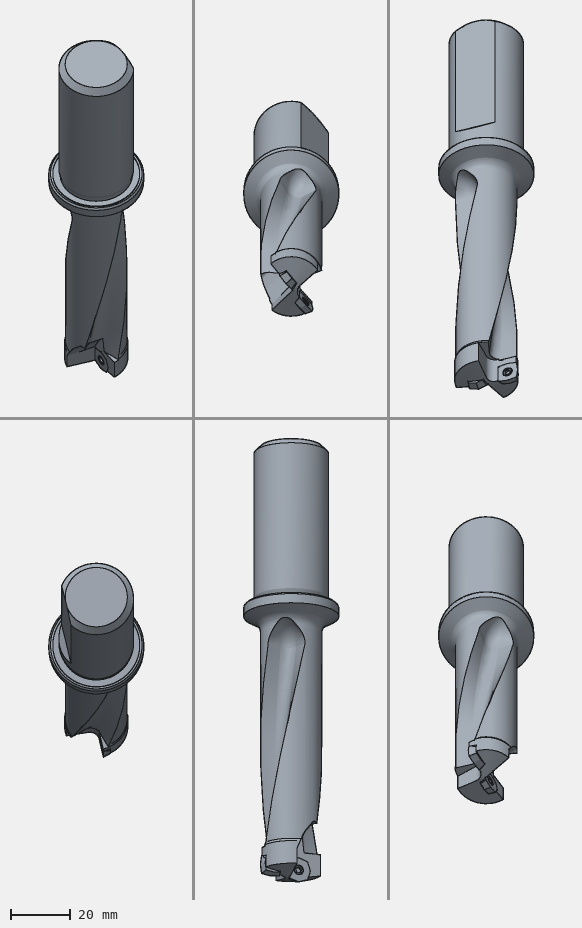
import cadquery as cq
import math


total_length = 151.9
shank_radius = 25.0 / 2
shank_chamfer = 2.1
flat_offset = 10.3
flat_bottom_z = 103.6
relief_radius = 24.3 / 2
relief_top_z = 98.7
relief_taper = 1.2

flange_radius = 31.9 / 2
flange_top_z = 96.5
flange_chamfer = 0.6
flange_recess_radius = 14.6
flange_recess_depth = 0.3
flange_rim_bottom_z = 92.7
cone_end_radius = 11.8
cone_end_z = 90.4
neck_end_z = 87.0

body_radius = 10.3
head_radius = 10.6
head_top_z = 11.0
head_step = 0.9
head_rim_z = 3.0
tip_z = 0.9

flute_count = 2
flute_web = 1.8
flute_root_radius = 3.8
flute_start_z = 10.5
flute_end_z = 80.5
flute_start_angle = 152
flute_lead = 1.205
runout_axis_radius = 12.2

center_wall_x = -0.8
center_wall_top_z = 8.0
center_blend_points = [(0.5, 11.0), (2.5, 14.6), (4.9, 17.6)]
center_wall_taper = 8
outer_wall_x = -1.2
outer_root_radius = 3
pocket_seat_x = 6
pocket_reach = 12.2
pocket_bottom_z = -1.5

insert_thickness = 2.6
insert_relief = 15
insert_corner = 3.2
insert_seat_side = 3.3
center_bow = 4.3
outer_bow = 3.6
insert_bore = 2.6
counterbore = 3.3
counterbore_depth = 1.4
screw_head = 3.0
screw_head_gap = 0.2
screw_shank = 2.1
screw_length = 4.9
socket = 2.0
socket_depth = 0.8
center_insert_at = (2.7, center_bow)
outer_insert_at = (-7.6, 4.5)


def make_blank():
    """Turned blank: shank, relief, flange, neck, body and conical tip."""
    profile = (
        cq.Workplane("XZ")
        .moveTo(0, tip_z)
        .lineTo(head_radius, head_rim_z)
        .lineTo(head_radius, head_top_z)
        .lineTo(body_radius, head_top_z + head_step)
        .lineTo(body_radius, neck_end_z)
        .tangentArcPoint((cone_end_radius, cone_end_z), relative=False)
        .lineTo(flange_radius, flange_rim_bottom_z)
        .lineTo(flange_radius, flange_top_z - flange_chamfer)
        .lineTo(flange_radius - flange_chamfer, flange_top_z)
        .lineTo(flange_recess_radius, flange_top_z)
        .lineTo(flange_recess_radius, flange_top_z - flange_recess_depth)
        .lineTo(relief_radius, flange_top_z - flange_recess_depth)
        .lineTo(relief_radius, relief_top_z - relief_taper)
        .lineTo(shank_radius, relief_top_z)
        .lineTo(shank_radius, total_length - shank_chamfer)
        .lineTo(shank_radius - shank_chamfer, total_length)
        .lineTo(0, total_length)
        .close()
    )
    return profile.revolve(360, (0, 0), (0, 1))


def make_flat_cutter():
    """Clamping flat on the +Y side of the shank, ending in a 45 degree ramp."""
    ramp_y = flange_radius
    return (
        cq.Workplane("YZ")
        .moveTo(flat_offset, total_length)
        .lineTo(flat_offset, flat_bottom_z + shank_radius - flat_offset)
        .lineTo(ramp_y, flat_bottom_z + shank_radius - ramp_y)
        .lineTo(ramp_y, total_length)
        .close()
        .extrude(shank_radius, both=True)
    )


def flute_profile():
    """Rounded V opening along +X, drawn on the XY plane."""
    tangent = flute_root_radius / math.sqrt(2)
    root_x = flute_web + flute_root_radius * (math.sqrt(2) - 1)
    half_width = runout_axis_radius - flute_web
    return (
        cq.Workplane("XY")
        .moveTo(runout_axis_radius, -half_width)
        .lineTo(flute_web + tangent, -tangent)
        .threePointArc((root_x, 0), (flute_web + tangent, tangent))
        .lineTo(runout_axis_radius, half_width)
        .close()
    )


def make_flute_cutter():
    """Twisted flute with a curved run-out at its upper end."""
    length = flute_end_z - flute_start_z
    twist = flute_lead * length
    helix = flute_profile().twistExtrude(length, twist)
    runout = (
        flute_profile()
        .revolve(90, (runout_axis_radius, -1.5), (runout_axis_radius, 1.5))
        .rotate((0, 0, 0), (0, 0, 1), twist)
        .translate((0, 0, length))
    )
    return [
        part.rotate((0, 0, 0), (0, 0, 1), flute_start_angle).translate((0, 0, flute_start_z))
        for part in (helix, runout)
    ]


def pocket_outline(wall_points):
    """Pocket outline on the XZ plane, from its inner wall outward along +X."""
    return (
        cq.Workplane("XZ")
        .polyline([
            *wall_points,
            (pocket_seat_x, flute_start_z),
            (pocket_reach, flute_start_z),
            (pocket_reach, pocket_bottom_z),
        ])
        .close()
    )


def make_center_pocket():
    """Pocket open toward +X and -Y, blending upward into the flute."""
    wall = [
        (center_wall_x, pocket_bottom_z),
        (center_wall_x, center_wall_top_z),
        *center_blend_points,
    ]
    return pocket_outline(wall).extrude(pocket_reach, taper=-center_wall_taper)


def make_outer_pocket():
    """Pocket open toward -X and +Y, with a rounded root."""
    wall_x = -outer_wall_x
    wall = [
        (wall_x, pocket_bottom_z),
        (wall_x, head_top_z),
        (pocket_seat_x, head_top_z),
    ]
    pocket = pocket_outline(wall).extrude(pocket_reach)
    root_edge = pocket.edges(cq.NearestToPointSelector((wall_x, 0, head_top_z / 2)))
    return half_turn(root_edge.fillet(outer_root_radius))


def half_turn(part):
    return part.rotate((0, 0, 0), (0, 0, 1), 180)


def insert_blank(bow):
    """Square insert with three bowed sides; its face is at Y = 0 and looks toward -Y."""
    return (
        cq.Workplane("XZ")
        .polyline([
            (-insert_seat_side, -insert_corner),
            (0, -bow),
            (insert_corner, -insert_corner),
            (bow, 0),
            (insert_corner, insert_corner),
            (0, bow),
            (-insert_seat_side, insert_corner),
        ])
        .close()
        .extrude(-insert_thickness, taper=insert_relief)
    )


def rod(diameter, start_y, end_y):
    """Cylinder along Y."""
    return cq.Workplane("XZ", origin=(0, start_y, 0)).circle(diameter / 2).extrude(start_y - end_y)


def make_insert(bow):
    return (
        insert_blank(bow)
        .cut(rod(counterbore, 0, counterbore_depth))
        .cut(rod(insert_bore, 0, insert_thickness))
    )


def make_screw():
    return (
        rod(screw_head, screw_head_gap, counterbore_depth)
        .union(rod(screw_shank, counterbore_depth, screw_length))
        .cut(rod(socket, screw_head_gap, screw_head_gap + socket_depth))
    )


def place_center(part):
    return part.translate((center_insert_at[0], 0, center_insert_at[1]))


def place_outer(part):
    return half_turn(part).translate((outer_insert_at[0], 0, outer_insert_at[1]))


insert_seats = [(place_center, center_bow), (place_outer, outer_bow)]


def make_holder():
    holder = make_blank().cut(make_flat_cutter())
    for index in range(flute_count):
        for cutter in make_flute_cutter():
            holder = holder.cut(cutter.rotate((0, 0, 0), (0, 0, 1), index * 360 / flute_count))
    holder = holder.cut(make_center_pocket()).cut(make_outer_pocket())
    for place, bow in insert_seats:
        holder = holder.cut(place(insert_blank(bow)))
        holder = holder.cut(place(rod(screw_shank, 0, screw_length)))
    return holder


holder = make_holder()
inserts = []
screws = []
for place, bow in insert_seats:
    inserts.append(place(make_insert(bow)))
    screws.append(place(make_screw()))

result = cq.Compound.makeCompound([
    holder.val(),
    *[insert.val() for insert in inserts],
    *[screw.val() for screw in screws],
])